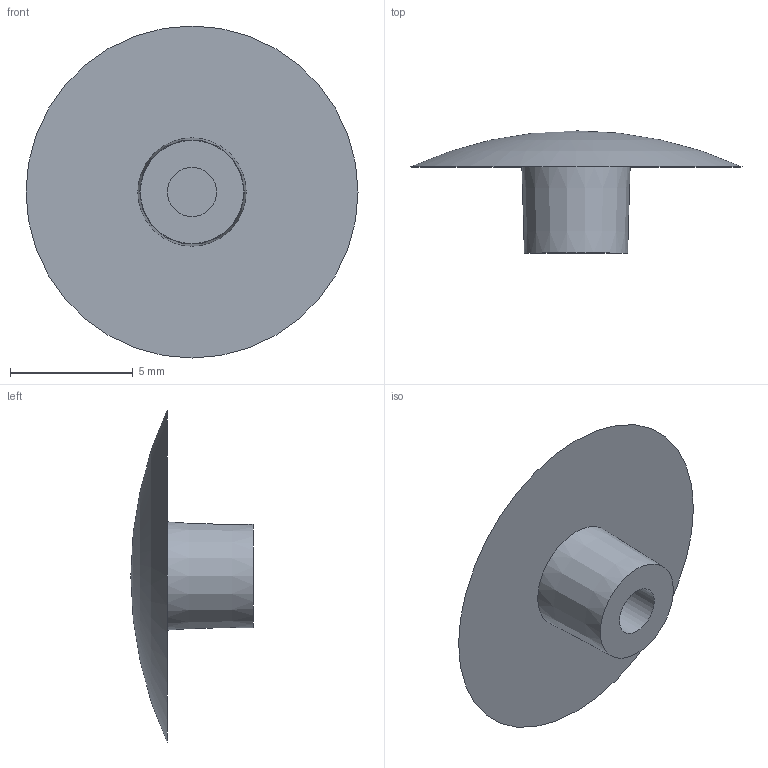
import cadquery as cq

head_diameter = 13.5
overall_length = 4.97
stem_length = 3.5
dome_height = overall_length - stem_length

stem_root_diameter = 4.4
stem_tip_diameter = 4.2

bore_diameter = 2.0
bore_depth = stem_length


def make_body():
    """Revolve the half section of the head and stem about the Y axis."""
    head_radius = head_diameter / 2
    sphere_radius = (head_radius**2 + dome_height**2) / (2 * dome_height)
    sphere_center_y = dome_height - sphere_radius
    mid_x = head_radius / 2
    mid_y = sphere_center_y + (sphere_radius**2 - mid_x**2) ** 0.5

    return (
        cq.Workplane("XY")
        .moveTo(0, -stem_length)
        .lineTo(stem_tip_diameter / 2, -stem_length)
        .lineTo(stem_root_diameter / 2, 0)
        .lineTo(head_radius, 0)
        .threePointArc((mid_x, mid_y), (0, dome_height))
        .close()
        .revolve(360, (0, 0, 0), (0, 1, 0))
    )


def make_bore():
    """Blind round bore, open at the stem tip."""
    return (
        cq.Workplane("XZ", origin=(0, -stem_length, 0))
        .circle(bore_diameter / 2)
        .extrude(-bore_depth)
    )


result = make_body().cut(make_bore())